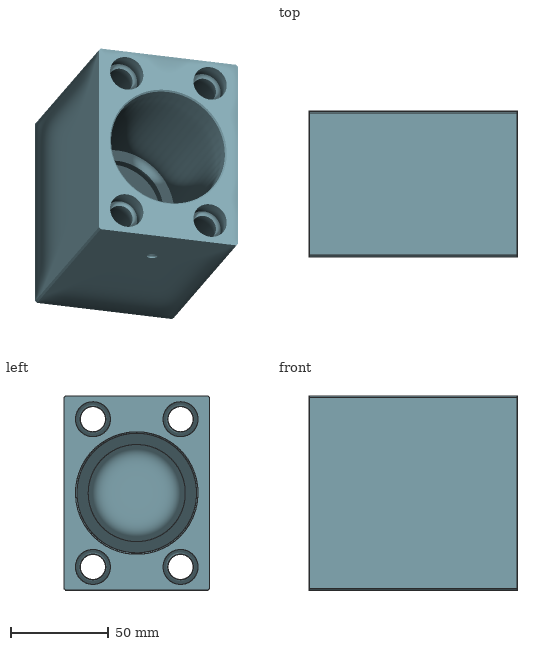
import cadquery as cq

length = 107.0
width = 75.0
height = 100.0
edge_chamfer = 1.0

bore_diameter = 61.5
bore_depth = 85.6
bore_mouth_chamfer = 0.7
recess_diameter = 50.0
recess_depth = 5.4

hole_diameter = 13.0
counterbore_diameter = 18.0
counterbore_depth = 10.3
hole_spacing_y = 45.0
hole_spacing_z = 76.0

port_diameter = 5.6
port_distance_from_mouth = 27.2

mouth_x = -length / 2


def cylinder_along_x(diameter, depth, start_x, y=0, z=0):
    """Cylinder growing toward +X from start_x."""
    plane = cq.Plane(origin=(start_x, y, z), xDir=(0, 1, 0), normal=(1, 0, 0))
    return cq.Workplane(plane).circle(diameter / 2).extrude(depth)


def make_block():
    return cq.Workplane("XY").box(length, width, height).edges("|X").chamfer(edge_chamfer)


def make_bore():
    """Bore with a flared mouth and a smaller recess in its floor."""
    bore = cylinder_along_x(bore_diameter, bore_depth, mouth_x)
    recess = cylinder_along_x(recess_diameter, recess_depth, mouth_x + bore_depth)
    mouth_radius = bore_diameter / 2 + bore_mouth_chamfer
    flare = cq.Workplane("XY").add(
        cq.Solid.makeCone(
            mouth_radius,
            bore_diameter / 2,
            bore_mouth_chamfer,
            pnt=cq.Vector(mouth_x, 0, 0),
            dir=cq.Vector(1, 0, 0),
        )
    )
    return bore.union(recess).union(flare)


def make_mounting_hole(y, z):
    hole = cylinder_along_x(hole_diameter, length, mouth_x, y, z)
    counterbore = cylinder_along_x(counterbore_diameter, counterbore_depth, mouth_x, y, z)
    return hole.union(counterbore)


def make_port():
    """Vertical hole from the bottom face up to the bore axis."""
    return (
        cq.Workplane("XY", origin=(mouth_x + port_distance_from_mouth, 0, -height / 2))
        .circle(port_diameter / 2)
        .extrude(height / 2)
    )


result = make_block().cut(make_bore()).cut(make_port())
for y in (-hole_spacing_y / 2, hole_spacing_y / 2):
    for z in (-hole_spacing_z / 2, hole_spacing_z / 2):
        result = result.cut(make_mounting_hole(y, z))